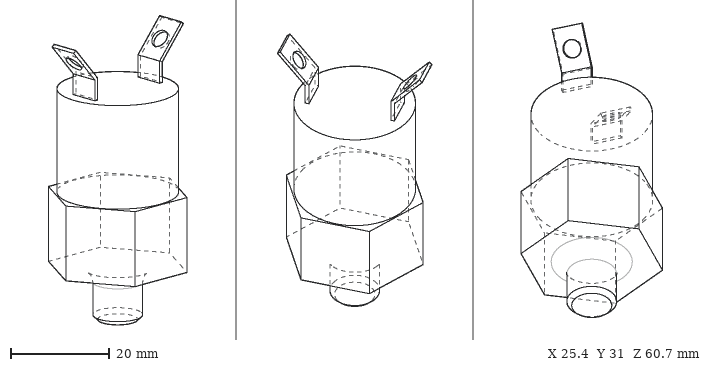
import cadquery as cq
import math

stem_diameter = 10.16
stem_height = 11.11
stem_chamfer = 1.0
neck_fillet = 3.17

hex_across_flats = 25.4
hex_height = 15.88

body_diameter = 24.77
body_height = 21.92

overall_height = 60.68
terminal_span = 31.02
terminal_width = 6.35
terminal_thickness = 0.79
terminal_tilt = math.radians(41.0)
terminal_inner_y = 8.76
terminal_hole_diameter = 3.74

hex_top = stem_height + hex_height
body_top = hex_top + body_height


def make_stem():
    """Stem with a chamfered lower end and a concave flare under the hexagon."""
    radius = stem_diameter / 2
    flare_start = stem_height - neck_fillet
    arc_inset = neck_fillet * (1 - math.sqrt(0.5))
    profile = (
        cq.Workplane("XZ")
        .lineTo(radius - stem_chamfer, 0)
        .lineTo(radius, stem_chamfer)
        .lineTo(radius, flare_start)
        .threePointArc(
            (radius + arc_inset, stem_height - arc_inset),
            (radius + neck_fillet, stem_height),
        )
        .lineTo(0, stem_height)
        .close()
    )
    return profile.revolve(360, (0, 0, 0), (0, 1, 0))


def make_hexagon():
    """Hexagonal prism, turned so that corners face +Y and -Y."""
    across_corners = hex_across_flats / math.cos(math.pi / 6)
    return (
        cq.Workplane("XY", origin=(0, 0, stem_height))
        .transformed(rotate=(0, 0, 90))
        .polygon(6, across_corners)
        .extrude(hex_height)
    )


def make_body():
    """Plain cylinder standing on the hexagon."""
    return cq.Workplane("XY", origin=(0, 0, hex_top)).circle(body_diameter / 2).extrude(body_height)


def make_terminal():
    """Terminal on the +Y side: an upright foot and a leaf leaning outward, with a hole at mid-leaf."""
    inner_tip_y = terminal_span / 2 - terminal_thickness * math.cos(terminal_tilt)
    outer_tip_z = overall_height - terminal_thickness * math.sin(terminal_tilt)
    inner_bend_z = overall_height - (inner_tip_y - terminal_inner_y) / math.tan(terminal_tilt)
    outer_bend_z = inner_bend_z - terminal_thickness * math.tan(terminal_tilt / 2)
    outer_y = terminal_inner_y + terminal_thickness

    strip = (
        cq.Workplane("YZ")
        .polyline([
            (terminal_inner_y, body_top),
            (terminal_inner_y, inner_bend_z),
            (inner_tip_y, overall_height),
            (terminal_span / 2, outer_tip_z),
            (outer_y, outer_bend_z),
            (outer_y, body_top),
        ])
        .close()
        .extrude(terminal_width / 2, both=True)
    )

    leaf_middle = (0, (terminal_inner_y + inner_tip_y) / 2, (inner_bend_z + overall_height) / 2)
    through_leaf = (0, math.cos(terminal_tilt), -math.sin(terminal_tilt))
    hole_plane = cq.Plane(origin=leaf_middle, xDir=(1, 0, 0), normal=through_leaf)
    hole = (
        cq.Workplane(hole_plane)
        .circle(terminal_hole_diameter / 2)
        .extrude(2 * terminal_thickness, both=True)
    )
    return strip.cut(hole)


terminal = make_terminal()
result = (
    make_stem()
    .union(make_hexagon())
    .union(make_body())
    .union(terminal)
    .union(terminal.mirror("XZ"))
)